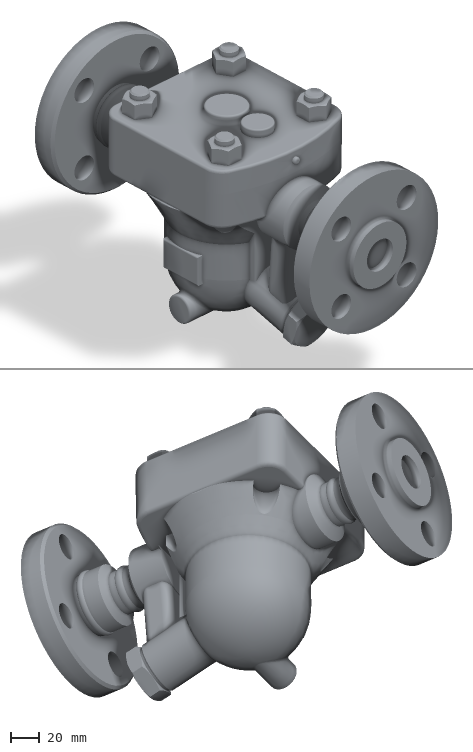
import cadquery as cq
import math


overall_length = 291.0
pipe_mid_x = 10.0
flange_dia = 124.0
flange_thickness = 18.0
flange_chamfer = 2.0
raised_face_dia = 51.0
raised_face_height = 6.0
raised_face_fillet = 1.7
hub_dia = 46.0
hub_length = 21.0
neck_dia = 32.0
neck_length = 16.5
nozzle_dia = 50.0
hub_taper_length = 4.0
nozzle_taper_length = 5.8
bead_height = 1.2
hub_bead_start = 3.0
hub_bead_width = 5.0
neck_bead_start = 5.2
neck_bead_width = 6.0
bore_dia = 25.0
bore_depth = 6.0
bolt_hole_dia = 19.0
bolt_hole_offset = 31.5

block_bottom = 1.2
split_z = 30.3
cover_top = 49.0
block_left = -62.5
block_right = 69.3
block_width = 125.0
bow_height = 14.3
bow_height_below = 12.5
left_corner_radius = 14.5
right_corner_radius = 16.0
block_bottom_fillet = 3.0
cover_top_fillet = 2.0

stud_offset = 43.0
stud_dia = 14.0
stud_top = 66.3
stud_chamfer = 1.2
nut_corner_dia = 25.0
nut_height = 12.5
nut_chamfer = 1.0
stud_clearance_dia = 19.0
cap_top = 55.3
cap_dia = 32.0
cap_base_fillet = 3.0
cap_top_fillet = 1.5
small_cap_dia = 24.0
small_cap_x = 31.5
small_cap_fillet = 1.2
pip_dia = 5.8
pip_reach = 72.2
pip_z = 40.2
pip_fillet = 1.7

bowl_radius = 44.0
bowl_center_z = -61.7
bowl_flare_z = -32.3
flare_mid_radius = 51.0
flare_mid_z = -19.2
flare_top_radius = 63.1
pad_width = 35.8
pad_top = -43.0
pad_height = 23.3
pad_face_y = -44.8
pad_fillet = 1.2
drain_dia = 22.0
drain_z = -92.5
drain_face_y = -46.0
drain_fillet = 1.5
drain_root_fillet = 2.0

branch_angle = 15.0
branch_dia = 38.0
branch_length = 79.2
branch_end_chamfer = 1.2
plug_corner_dia = 42.5
plug_neck_dia = 35.0
plug_gap = 1.5
plug_thickness = 11.3
plug_chamfer = 1.5
passage_tilt = 4.0
passage_x = 68.5
passage_z = -33.0
passage_length_x = 23.5
passage_width_y = 30.3
passage_corner_radius = 6.7
passage_top = -5.8
passage_bottom = -78.5
rib_width = 34.3
gap_left = 46.3
gap_right = 56.5


def cylinder_z(x, y, bottom, top, dia):
    return cq.Workplane("XY", origin=(x, y, bottom)).circle(dia / 2).extrude(top - bottom)


def hexagon_prism(plane, corner_dia, height, chamfer, both_ends=False):
    """Hexagon with its end corners turned off."""
    far_end = cq.selectors.DirectionMinMaxSelector(plane.zDir, True)
    near_end = cq.selectors.DirectionMinMaxSelector(plane.zDir, False)
    turned = cq.Workplane(plane).circle(corner_dia / 2).extrude(height)
    turned = turned.faces(far_end).chamfer(chamfer, 2 * chamfer)
    if both_ends:
        turned = turned.faces(near_end).chamfer(chamfer, 2 * chamfer)
    return cq.Workplane(plane).polygon(6, corner_dia).extrude(height).intersect(turned)


def left_pipe_end():
    """Turned pipe end from its raised face to the middle of the body, then drilled."""
    face_x = pipe_mid_x - overall_length / 2
    flange_front = face_x + raised_face_height
    flange_back = flange_front + flange_thickness
    hub_end = flange_back + hub_length
    neck_start = hub_end + hub_taper_length
    neck_end = neck_start + neck_length
    nozzle_start = neck_end + nozzle_taper_length
    face_r = raised_face_dia / 2
    flange_r = flange_dia / 2
    hub_r = hub_dia / 2
    neck_r = neck_dia / 2
    nozzle_r = nozzle_dia / 2
    hub_bead = flange_back + hub_bead_start
    neck_bead = neck_start + neck_bead_start
    fillet_center_x = flange_front - raised_face_fillet
    fillet_dip = raised_face_fillet * (1 - math.sqrt(0.5))

    profile = (
        cq.Workplane("XZ")
        .moveTo(face_x, 0)
        .lineTo(face_x, face_r)
        .lineTo(fillet_center_x, face_r)
        .threePointArc(
            (flange_front - fillet_dip, face_r + fillet_dip),
            (flange_front, face_r + raised_face_fillet),
        )
        .lineTo(flange_front, flange_r)
        .lineTo(flange_back - flange_chamfer, flange_r)
        .lineTo(flange_back, flange_r - flange_chamfer)
        .lineTo(flange_back, hub_r)
        .lineTo(hub_bead, hub_r)
        .threePointArc(
            (hub_bead + hub_bead_width / 2, hub_r + bead_height),
            (hub_bead + hub_bead_width, hub_r),
        )
        .lineTo(hub_end, hub_r)
        .lineTo(neck_start, neck_r)
        .lineTo(neck_bead, neck_r)
        .threePointArc(
            (neck_bead + neck_bead_width / 2, neck_r + bead_height),
            (neck_bead + neck_bead_width, neck_r),
        )
        .lineTo(neck_end, neck_r)
        .lineTo(nozzle_start, nozzle_r)
        .lineTo(0, nozzle_r)
        .lineTo(0, 0)
        .close()
    )
    pipe = profile.revolve(360, (0, 0, 0), (1, 0, 0))
    drill_plane = cq.Workplane("YZ", origin=(face_x, 0, 0))
    bore = drill_plane.circle(bore_dia / 2).extrude(bore_depth)
    bolt_holes = (
        drill_plane.rect(2 * bolt_hole_offset, 2 * bolt_hole_offset, forConstruction=True)
        .vertices()
        .circle(bolt_hole_dia / 2)
        .extrude(flange_back - face_x)
    )
    return pipe.cut(bore).cut(bolt_holes)


def bowed_slab(bottom, top, bow_at_bottom):
    """Rounded square slab with a bowed +X side that may bow less at its bottom."""
    half_width = block_width / 2
    corner_x = block_right - bow_height

    def outline(sketch, bow):
        return (
            sketch.moveTo(block_left, -half_width)
            .lineTo(corner_x, -half_width)
            .threePointArc((corner_x + bow, 0), (corner_x, half_width))
            .lineTo(block_left, half_width)
            .close()
        )

    def upright_edges(from_x, to_x):
        return cq.selectors.BoxSelector((from_x, -block_width, bottom + 3), (to_x, block_width, top - 3))

    slab = outline(cq.Workplane("XY", origin=(0, 0, bottom)), bow_at_bottom)
    slab = outline(slab.workplane(offset=top - bottom), bow_height).loft(ruled=True)
    slab = slab.edges(upright_edges(0, block_right)).fillet(right_corner_radius)
    return slab.edges(upright_edges(block_left - 3, -stud_offset)).fillet(left_corner_radius)


def bowl():
    """Round bowl with a spherical bottom and a flare that widens up to the block."""
    profile = (
        cq.Workplane("XZ")
        .moveTo(0, block_bottom)
        .lineTo(flare_top_radius, block_bottom)
        .lineTo(flare_mid_radius, flare_mid_z)
        .lineTo(bowl_radius, bowl_flare_z)
        .lineTo(bowl_radius, bowl_center_z)
        .threePointArc(
            (bowl_radius * math.sqrt(0.5), bowl_center_z - bowl_radius * math.sqrt(0.5)),
            (0, bowl_center_z - bowl_radius),
        )
        .close()
    )
    return profile.revolve(360, (0, 0, 0), (0, 1, 0))


def stud_clearances():
    """Round clearances in the flare below the four studs."""
    return (
        cq.Workplane("XY", origin=(0, 0, bowl_flare_z))
        .rect(2 * stud_offset, 2 * stud_offset, forConstruction=True)
        .vertices()
        .circle(stud_clearance_dia / 2)
        .extrude(block_bottom - bowl_flare_z)
    )


def drained_bowl():
    """Bowl with its flare trimmed to the block, and the drain boss low on its -Y side."""
    flare_limit = cq.Workplane("XY").box(2 * block_width, block_width, 2 * block_width)
    drain = cq.Workplane("XZ", origin=(0, 0, drain_z)).circle(drain_dia / 2).extrude(-drain_face_y)
    drain = drain.faces("<Y").edges().fillet(drain_fillet)
    drain_root = cq.selectors.BoxSelector(
        (-drain_dia, -bowl_radius, 2 * drain_z),
        (drain_dia, -3, bowl_center_z - 3),
    )
    body = bowl().intersect(flare_limit).cut(stud_clearances()).union(drain)
    return body.edges(drain_root).edges("%BSPLINE").fillet(drain_root_fillet)


def branch_plane(distance):
    """Plane across the branch at a distance from the bowl center."""
    angle = math.radians(branch_angle)
    axis = cq.Vector(math.cos(angle), 0, -math.sin(angle))
    center = cq.Vector(0, 0, bowl_center_z) + axis * distance
    return cq.Plane(origin=center, xDir=(math.sin(angle), 0, math.cos(angle)), normal=axis)


def branch():
    """Round branch that slopes down from the bowl center."""
    plane = branch_plane(0)
    end = cq.selectors.DirectionMinMaxSelector(plane.zDir, True)
    bar = cq.Workplane(plane).circle(branch_dia / 2).extrude(branch_length)
    return bar.faces(end).chamfer(branch_end_chamfer)


def branch_plug():
    """Hexagon plug on a short neck at the end of the branch."""
    neck = cq.Workplane(branch_plane(branch_length)).circle(plug_neck_dia / 2).extrude(plug_gap)
    head_plane = branch_plane(branch_length + plug_gap)
    return neck.union(hexagon_prism(head_plane, plug_corner_dia, plug_thickness, plug_chamfer, both_ends=True))


def passage():
    """Tilted rounded bar from the branch up into the outlet nozzle."""
    bar = cq.Workplane("XY").box(passage_length_x, passage_width_y, passage_top - passage_bottom)
    bar = bar.edges("|Z").fillet(passage_corner_radius)
    bar = bar.translate((0, 0, (passage_top + passage_bottom) / 2 - passage_z))
    return bar.rotate((0, 0, 0), (0, 1, 0), passage_tilt).translate((passage_x, 0, passage_z))


def rib():
    """Flat-sided rib on the bowl from the block down to the branch."""
    height = block_bottom - bowl_center_z
    center = (gap_left / 2, 0, bowl_center_z + height / 2)
    return cq.Workplane("XY", origin=center).box(gap_left, rib_width, height)


def gap():
    """Clear slot between the bowl and the outlet nozzle."""
    height = block_bottom - passage_z
    center = ((gap_left + gap_right) / 2, 0, passage_z + height / 2)
    return cq.Workplane("XY", origin=center).box(gap_right - gap_left, 2 * block_width, height)


def name_pad():
    """Raised rectangular pad on the -Y side of the bowl."""
    pad = cq.Workplane("XY", origin=(0, pad_face_y / 2, pad_top - pad_height / 2))
    return pad.box(pad_width, -pad_face_y, pad_height).faces("<Y").edges().fillet(pad_fillet)


def body_block():
    """Slab under the cover, with a rounded bottom edge."""
    slab = bowed_slab(block_bottom, split_z, bow_height_below)
    return slab.faces("<Z").edges().fillet(block_bottom_fillet)


def cap():
    """Round cap with a flared foot."""
    radius = cap_dia / 2
    dip = cap_base_fillet * math.sqrt(0.5)
    foot_center_z = cover_top + cap_base_fillet
    foot_center_r = radius + cap_base_fillet
    profile = (
        cq.Workplane("XZ")
        .moveTo(0, split_z)
        .lineTo(foot_center_r, split_z)
        .lineTo(foot_center_r, cover_top)
        .threePointArc((foot_center_r - dip, foot_center_z - dip), (radius, foot_center_z))
        .lineTo(radius, cap_top)
        .lineTo(0, cap_top)
        .close()
    )
    return profile.revolve(360, (0, 0, 0), (0, 1, 0)).faces(">Z").edges().fillet(cap_top_fillet)


def cover():
    """Cover slab with two round caps and a small pip on its bowed side."""
    slab = bowed_slab(split_z, cover_top, bow_height).faces(">Z").edges().fillet(cover_top_fillet)
    small_cap = cylinder_z(small_cap_x, 0, split_z, cap_top, small_cap_dia)
    small_cap = small_cap.faces(">Z").edges().fillet(small_cap_fillet)
    pip = cq.Workplane("YZ", origin=(small_cap_x, 0, pip_z)).circle(pip_dia / 2)
    pip = pip.extrude(pip_reach - small_cap_x).faces(">X").edges().fillet(pip_fillet)
    return slab.union(cap()).union(small_cap).union(pip)


def stud_with_nut(x, y, nut_angle):
    """Stud end standing on the cover with its hexagon nut."""
    stud = cylinder_z(x, y, split_z, stud_top, stud_dia).faces(">Z").chamfer(stud_chamfer)
    direction = (math.cos(math.radians(nut_angle)), math.sin(math.radians(nut_angle)), 0)
    nut_plane = cq.Plane(origin=(x, y, cover_top), xDir=direction, normal=(0, 0, 1))
    return stud.union(hexagon_prism(nut_plane, nut_corner_dia, nut_height, nut_chamfer))


inlet_end = left_pipe_end()
outlet_end = inlet_end.mirror("YZ").translate((2 * pipe_mid_x, 0, 0))

cover_with_studs = cover()
for side_x in (-1, 1):
    for side_y in (-1, 1):
        nut_angle = 0 if side_x == side_y else 90
        stud = stud_with_nut(side_x * stud_offset, side_y * stud_offset, nut_angle)
        cover_with_studs = cover_with_studs.union(stud)

lower_body = drained_bowl().union(branch()).union(rib()).union(passage())
lower_body = lower_body.union(outlet_end).cut(gap())
result = lower_body.union(inlet_end).union(body_block()).union(name_pad()).union(branch_plug())
result = result.union(cover_with_studs, clean=False)